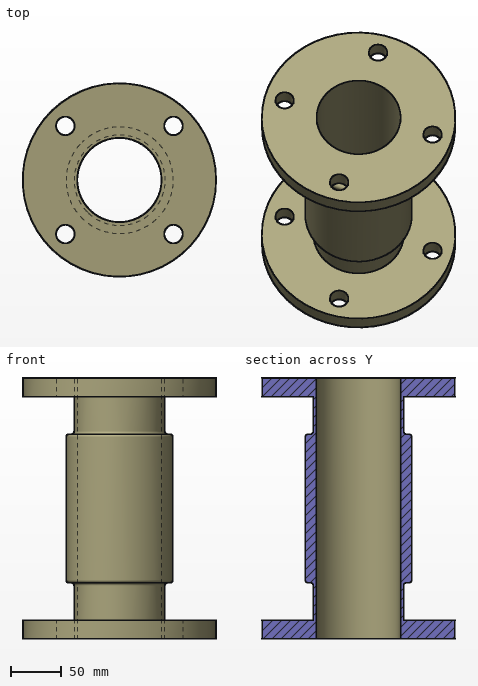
import cadquery as cq

total_height = 256.0
flange_diameter = 190.0
flange_thickness = 18.5
neck_diameter = 89.0
body_diameter = 105.0
body_length = 146.0
bore_diameter = 82.5
shoulder_radius = 2.8

bolt_hole_count = 4
bolt_hole_diameter = 18.0
bolt_circle_diameter = 150.0
first_bolt_angle = 45.0

body_bottom = (total_height - body_length) / 2
body_top = body_bottom + body_length


def cylinder(diameter, bottom, top):
    """Upright cylinder centred on the Z axis."""
    return cq.Workplane("XY").workplane(offset=bottom).circle(diameter / 2).extrude(top - bottom)


def ring_edges_at(height):
    """Box selector that catches the circular edges lying at one height."""
    reach = body_diameter
    margin = shoulder_radius / 2
    return cq.selectors.BoxSelector(
        (-reach, -reach, height - margin),
        (reach, reach, height + margin),
        boundingbox=True,
    )


tube = cylinder(neck_diameter, 0, total_height).union(cylinder(body_diameter, body_bottom, body_top))
for shoulder_height in (body_bottom, body_top):
    tube = tube.edges(ring_edges_at(shoulder_height)).fillet(shoulder_radius)

bottom_flange = cylinder(flange_diameter, 0, flange_thickness)
top_flange = cylinder(flange_diameter, total_height - flange_thickness, total_height)

bolt_holes = (
    cq.Workplane("XY")
    .polarArray(bolt_circle_diameter / 2, first_bolt_angle, 360, bolt_hole_count)
    .circle(bolt_hole_diameter / 2)
    .extrude(total_height)
)

bore = cylinder(bore_diameter, 0, total_height)

result = tube.union(bottom_flange).union(top_flange).cut(bolt_holes).cut(bore)